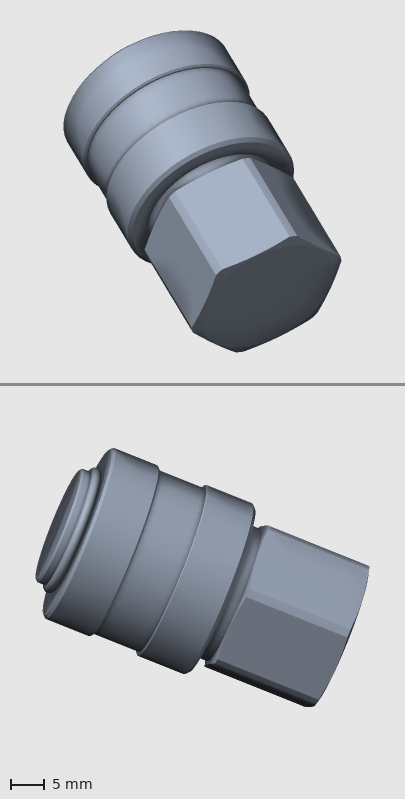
import cadquery as cq
import math

OVERALL_LENGTH = 45.1

PLUG_DIAMETER = 18.0
PLUG_CHAMFER = 0.3

RING_GROOVE_START = 1.45
RING_GROOVE_DIAMETER = 16.65

SLEEVE_START = 3.0
SLEEVE_END = 26.05
SLEEVE_DIAMETER = 27.15
FRONT_CHAMFER = 0.45
REAR_CHAMFER = 0.55
WAIST_START = 10.65
WAIST_END = 18.1
WAIST_DIAMETER = 26.0
WAIST_FRONT_CHAMFER = 0.25
WAIST_REAR_CHAMFER = 0.15

NECK_DIAMETER = 21.0

HEX_START = 28.05
HEX_SIDES = 6
HEX_ACROSS_FLATS = 21.9
HEX_CORNER_DIAMETER = 24.6
HEX_FLAT_TILT = 20.9
HEX_CHAMFER_LENGTH = 0.45
HEX_CHAMFER_RISE = 1.62

RING_WIRE_DIAMETER = SLEEVE_START - RING_GROOVE_START
RING_CENTRE_RADIUS = (RING_GROOVE_DIAMETER + RING_WIRE_DIAMETER) / 2
RING_GAP = 1.0
RING_GAP_OFFSET = -0.295


def rod(diameter, start, end):
    """Cylinder around the X axis."""
    return cq.Workplane("YZ").workplane(offset=start).circle(diameter / 2).extrude(end - start)


def make_plug():
    plug = rod(PLUG_DIAMETER, 0, SLEEVE_START).faces("<X").chamfer(PLUG_CHAMFER)
    groove_floor = rod(RING_GROOVE_DIAMETER, RING_GROOVE_START, SLEEVE_START)
    groove = rod(SLEEVE_DIAMETER, RING_GROOVE_START, SLEEVE_START).cut(groove_floor)
    return plug.cut(groove)


def make_sleeve():
    front_collar = (
        rod(SLEEVE_DIAMETER, SLEEVE_START, WAIST_START)
        .faces("<X").chamfer(FRONT_CHAMFER)
        .faces(">X").chamfer(WAIST_FRONT_CHAMFER)
    )
    rear_collar = (
        rod(SLEEVE_DIAMETER, WAIST_END, SLEEVE_END)
        .faces("<X").chamfer(WAIST_REAR_CHAMFER)
        .faces(">X").chamfer(REAR_CHAMFER)
    )
    waist = rod(WAIST_DIAMETER, WAIST_START, WAIST_END)
    return front_collar.union(waist).union(rear_collar)


def make_hexagon():
    length = OVERALL_LENGTH - HEX_START
    half_side_angle = 180 / HEX_SIDES
    sharp_corner_diameter = HEX_ACROSS_FLATS / math.cos(math.radians(half_side_angle))
    prism = (
        cq.Workplane("YZ").workplane(offset=HEX_START)
        .polygon(HEX_SIDES, sharp_corner_diameter).extrude(length)
        .rotate((0, 0, 0), (1, 0, 0), half_side_angle - HEX_FLAT_TILT)
    )
    corner_radius = HEX_CORNER_DIAMETER / 2
    end_radius = corner_radius - HEX_CHAMFER_RISE
    envelope = (
        cq.Workplane("XY")
        .moveTo(HEX_START, 0)
        .lineTo(HEX_START, end_radius)
        .lineTo(HEX_START + HEX_CHAMFER_LENGTH, corner_radius)
        .lineTo(OVERALL_LENGTH - HEX_CHAMFER_LENGTH, corner_radius)
        .lineTo(OVERALL_LENGTH, end_radius)
        .lineTo(OVERALL_LENGTH, 0)
        .close()
        .revolve(360, (0, 0, 0), (1, 0, 0))
    )
    return prism.intersect(envelope)


def make_coupling_body():
    neck = rod(NECK_DIAMETER, SLEEVE_END, HEX_START)
    return make_plug().union(make_sleeve()).union(neck).union(make_hexagon())


def make_snap_ring():
    wire_centre_x = RING_GROOVE_START + RING_WIRE_DIAMETER / 2
    ring = (
        cq.Workplane("XY")
        .center(wire_centre_x, RING_CENTRE_RADIUS)
        .circle(RING_WIRE_DIAMETER / 2)
        .revolve(360, (0, -RING_CENTRE_RADIUS, 0), (1, -RING_CENTRE_RADIUS, 0))
    )
    gap = (
        cq.Workplane("XY")
        .box(RING_WIRE_DIAMETER, RING_GAP, SLEEVE_DIAMETER / 2, centered=(True, True, False))
        .translate((wire_centre_x, RING_GAP_OFFSET, 0))
    )
    return ring.cut(gap)


coupling_body = make_coupling_body()
snap_ring = make_snap_ring()

result = cq.Compound.makeCompound([coupling_body.val(), snap_ring.val()])